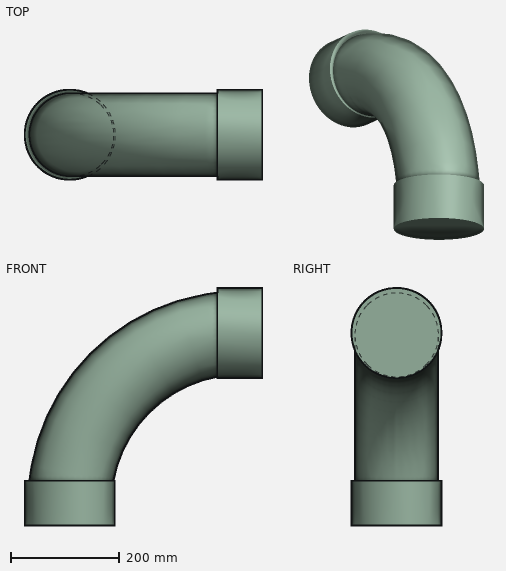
import cadquery as cq

collar_diameter = 167.0
collar_length = 83.0
pipe_diameter = 154.0
center_to_end = 356.0
bend_start = 40.0

bend_radius = center_to_end - bend_start


def pipe_bend():
    """90 degree bend from the lower collar (along Z) to the upper collar (along X)."""
    return (
        cq.Workplane("XY")
        .workplane(offset=bend_start)
        .circle(pipe_diameter / 2)
        .revolve(90, (bend_radius, 0, 0), (bend_radius, 1, 0))
    )


def lower_collar():
    """Collar standing on the origin."""
    return cq.Workplane("XY").circle(collar_diameter / 2).extrude(collar_length)


def upper_collar():
    """Collar at the far end of the bend, with its axis along X."""
    return (
        cq.Workplane("YZ", origin=(center_to_end, 0, center_to_end))
        .circle(collar_diameter / 2)
        .extrude(-collar_length)
    )


result = pipe_bend().union(lower_collar()).union(upper_collar())